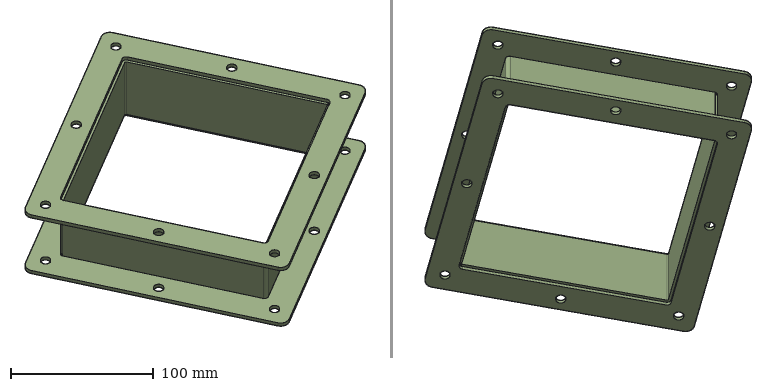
import cadquery as cq

flange_side = 193.7
frame_height = 57.1

flange_thickness = 3.1
flange_corner_radius = 6.4
opening_corner_radius = 3.1
hole_diameter = 7.2
corner_hole_offset = 84.0
middle_hole_offset = 87.3

duct_side = 152.5
sheet_thickness = 2.0
bend_outer_radius = 3.0
bend_inner_radius = bend_outer_radius - sheet_thickness

duct_half = duct_side / 2
inner_half = duct_half - sheet_thickness
wall_height = frame_height - 2 * flange_thickness


def hole_centres():
    """Four holes near the corners and four at the middles of the sides."""
    corner = corner_hole_offset
    middle = middle_hole_offset
    corners = [(x, y) for x in (-corner, corner) for y in (-corner, corner)]
    middles = [(-middle, 0), (middle, 0), (0, -middle), (0, middle)]
    return corners + middles


def make_flange(bottom_z):
    """Square plate with a rounded opening flush with the outside of the duct."""
    plate = (
        cq.Workplane("XY")
        .rect(flange_side, flange_side)
        .extrude(flange_thickness)
        .edges("|Z")
        .fillet(flange_corner_radius)
    )
    opening = (
        cq.Workplane("XY")
        .rect(duct_side, duct_side)
        .extrude(flange_thickness)
        .edges("|Z")
        .fillet(opening_corner_radius)
    )
    holes = cq.Workplane("XY").pushPoints(hole_centres()).circle(hole_diameter / 2).extrude(flange_thickness)
    return plate.cut(opening).cut(holes).translate((0, 0, bottom_z))


def make_wall(turn):
    """L-shaped sheet along -Y and +X, turned about Z; its ends stop at the inner duct faces."""
    sheet = (
        cq.Workplane("XY")
        .moveTo(-inner_half, -duct_half)
        .lineTo(duct_half, -duct_half)
        .lineTo(duct_half, inner_half)
        .lineTo(inner_half, inner_half)
        .lineTo(inner_half, -inner_half)
        .lineTo(-inner_half, -inner_half)
        .close()
        .extrude(wall_height)
    )
    sheet = sheet.edges(cq.selectors.NearestToPointSelector((duct_half, -duct_half, wall_height / 2)))
    sheet = sheet.fillet(bend_outer_radius)
    sheet = sheet.edges(cq.selectors.NearestToPointSelector((inner_half, -inner_half, wall_height / 2)))
    sheet = sheet.fillet(bend_inner_radius)
    return sheet.rotate((0, 0, 0), (0, 0, 1), turn).translate((0, 0, -wall_height / 2))


flange_bottoms = [-frame_height / 2, frame_height / 2 - flange_thickness]
flanges = [make_flange(bottom_z) for bottom_z in flange_bottoms]
walls = [make_wall(turn) for turn in (0, 180)]

result = cq.Compound.makeCompound([body.val() for body in flanges + walls])